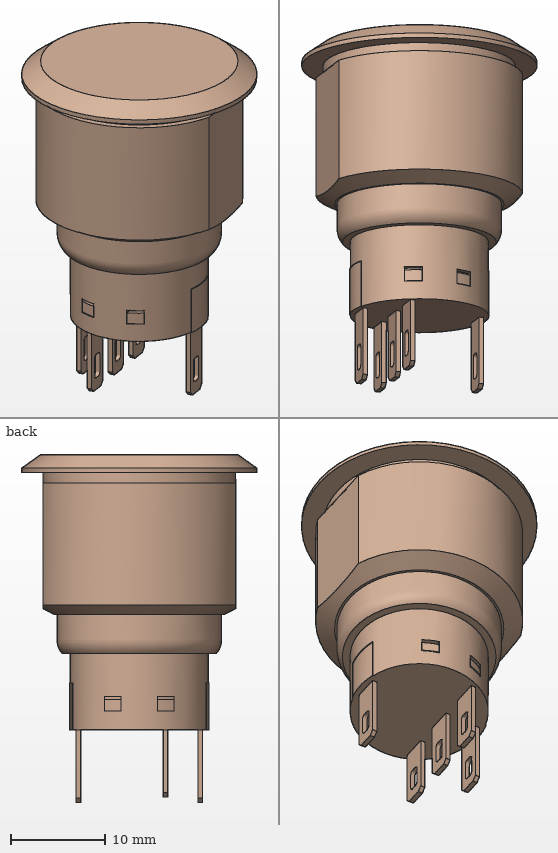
import cadquery as cq

total_height = 37.0
bezel_rim_top = 35.55
bezel_bottom = 35.08
barrel_top = 34.0
barrel_edge = 21.0
barrel_bottom = 19.98
shoulder_bottom = 15.85
base_bottom = 7.75

bezel_diameter = 25.0
bezel_top_diameter = 20.98
neck_diameter = 20.5
barrel_diameter = 22.0
barrel_end_diameter = 18.0
shoulder_diameter = 17.5
base_diameter = 14.7

barrel_flat_width = neck_diameter

shoulder_round_height = 1.4
shoulder_round_inset = 0.6

pad_diameter = 14.85
pad_width = 3.95
pad_height = 5.0

window_width = 1.75
window_offset = 2.8
window_top = 11.3
window_bottom = 9.73
window_slit_height = 0.35
latch_diameter = 14.45
slit_diameter = 13.3

pin_thickness = 0.5
pin_width = 2.75
pin_tip_chamfer = 0.48
pin_embed = 0.75
pin_hole_width = 1.22
pin_hole_height = 2.7
pin_hole_corner = 0.37
pin_hole_above_tip = 2.7
long_pin_tip = 0.0
short_pin_tip = 0.6
long_pin_offset = 6.48
short_pin_row = -2.78
short_pin_spacing = 5.0


def cylinder(diameter, bottom, top):
    return cq.Workplane("XY").workplane(offset=bottom).circle(diameter / 2).extrude(top - bottom)


def box(center_x, center_y, size_x, size_y, bottom, top):
    block = cq.Workplane("XY").workplane(offset=bottom).center(center_x, center_y)
    return block.rect(size_x, size_y).extrude(top - bottom)


def make_bezel_and_neck():
    profile = (
        cq.Workplane("XZ")
        .moveTo(0, total_height)
        .lineTo(bezel_top_diameter / 2, total_height)
        .lineTo(bezel_diameter / 2, bezel_rim_top)
        .lineTo(bezel_diameter / 2, bezel_bottom)
        .lineTo(neck_diameter / 2, bezel_bottom)
        .lineTo(neck_diameter / 2, barrel_top)
        .lineTo(0, barrel_top)
        .close()
    )
    return profile.revolve(360, (0, 0, 0), (0, 1, 0))


def make_barrel():
    profile = (
        cq.Workplane("XZ")
        .moveTo(0, barrel_top)
        .lineTo(barrel_diameter / 2, barrel_top)
        .lineTo(barrel_diameter / 2, barrel_edge)
        .lineTo(barrel_end_diameter / 2, barrel_bottom)
        .lineTo(0, barrel_bottom)
        .close()
    )
    barrel = profile.revolve(360, (0, 0, 0), (0, 1, 0))
    return barrel.intersect(box(0, 0, barrel_flat_width, barrel_diameter, barrel_bottom, barrel_top))


def make_shoulder():
    wall_radius = shoulder_diameter / 2
    profile = (
        cq.Workplane("XZ")
        .moveTo(0, barrel_bottom)
        .lineTo(wall_radius, barrel_bottom)
        .lineTo(wall_radius, shoulder_bottom + shoulder_round_height)
        .tangentArcPoint((wall_radius - shoulder_round_inset, shoulder_bottom), relative=False)
        .lineTo(0, shoulder_bottom)
        .close()
    )
    return profile.revolve(360, (0, 0, 0), (0, 1, 0))


def make_pads():
    disc = cylinder(pad_diameter, base_bottom, base_bottom + pad_height)
    return disc.intersect(box(0, 0, pad_diameter, pad_width, base_bottom, base_bottom + pad_height))


def make_window_cutter():
    """Four shallow windows, each with a deeper slit along its top edge."""
    slit_bottom = window_top - window_slit_height
    windows = cq.Workplane("XY")
    slits = cq.Workplane("XY")
    for x in (-window_offset, window_offset):
        windows = windows.union(box(x, 0, window_width, pad_diameter, window_bottom, window_top))
        slits = slits.union(box(x, 0, window_width, pad_diameter, slit_bottom, window_top))
    windows = windows.cut(cylinder(latch_diameter, window_bottom, window_top))
    slits = slits.cut(cylinder(slit_diameter, slit_bottom, window_top))
    return windows.union(slits)


def make_pin(x, y, tip):
    pin = box(x, y, pin_thickness, pin_width, tip, base_bottom + pin_embed)
    pin = pin.faces("<Z").edges("|X").chamfer(pin_tip_chamfer)
    hole_middle = tip + pin_hole_above_tip
    hole_bottom = hole_middle - pin_hole_height / 2
    hole = box(x, y, 2 * pin_thickness, pin_hole_width, hole_bottom, hole_bottom + pin_hole_height)
    return pin.cut(hole.edges("|X").fillet(pin_hole_corner))


base = cylinder(base_diameter, base_bottom, shoulder_bottom)
base = base.union(make_pads()).cut(make_window_cutter())

result = make_bezel_and_neck().union(make_barrel()).union(make_shoulder()).union(base)

for pin_x in (-long_pin_offset, long_pin_offset):
    result = result.union(make_pin(pin_x, 0, long_pin_tip))
for pin_y in (-short_pin_spacing, 0, short_pin_spacing):
    result = result.union(make_pin(short_pin_row, pin_y, short_pin_tip))